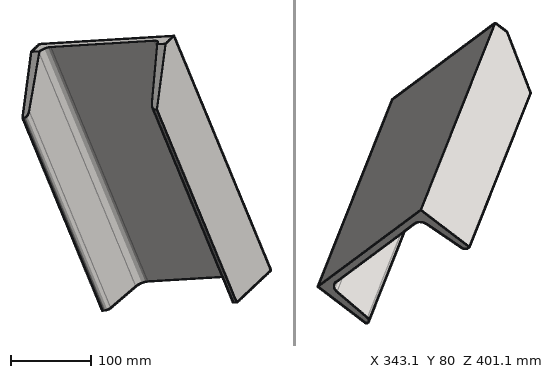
import cadquery as cq

width = 220.0
length = 340.0
depth = 80.0
tilt = 25.0
plate_thickness = 10.0
wall_root = 14.5
wall_tip = 9.2
root_radius = 12.0
tip_radius = 6.5
bevel_run = 60.0


def wall_corners(side):
    """Wall corners from outer back edge to the plate; side is -1 or 1."""
    half = width / 2
    return [
        (side * half, 0),
        (side * half, -depth),
        (side * (half - wall_tip), -depth),
        (side * (half - wall_root), -plate_thickness),
    ]


outline = wall_corners(-1) + wall_corners(1)[::-1]
channel = cq.Workplane("XY").polyline(outline).close().extrude(length / 2, both=True)


def round_inner_edges(body, wall_thickness, y, radius):
    """Round the lengthwise edge on the inner face of each wall at height y."""
    half_gap = width / 2 - wall_thickness
    for x in (-half_gap, half_gap):
        nearest_edge = cq.selectors.NearestToPointSelector((x, y, 0))
        body = body.edges("|Z").edges(nearest_edge).fillet(radius)
    return body


channel = round_inner_edges(channel, wall_root, -plate_thickness, root_radius)
channel = round_inner_edges(channel, wall_tip, -depth, tip_radius)

bevel_cutter = (
    cq.Workplane("YZ")
    .polyline([
        (-depth, length / 2),
        (-depth + bevel_run, length / 2),
        (-depth, length / 2 - bevel_run),
    ])
    .close()
    .extrude(width, both=True)
)
channel = channel.cut(bevel_cutter)

result = channel.rotate((0, 0, 0), (0, 1, 0), -tilt)